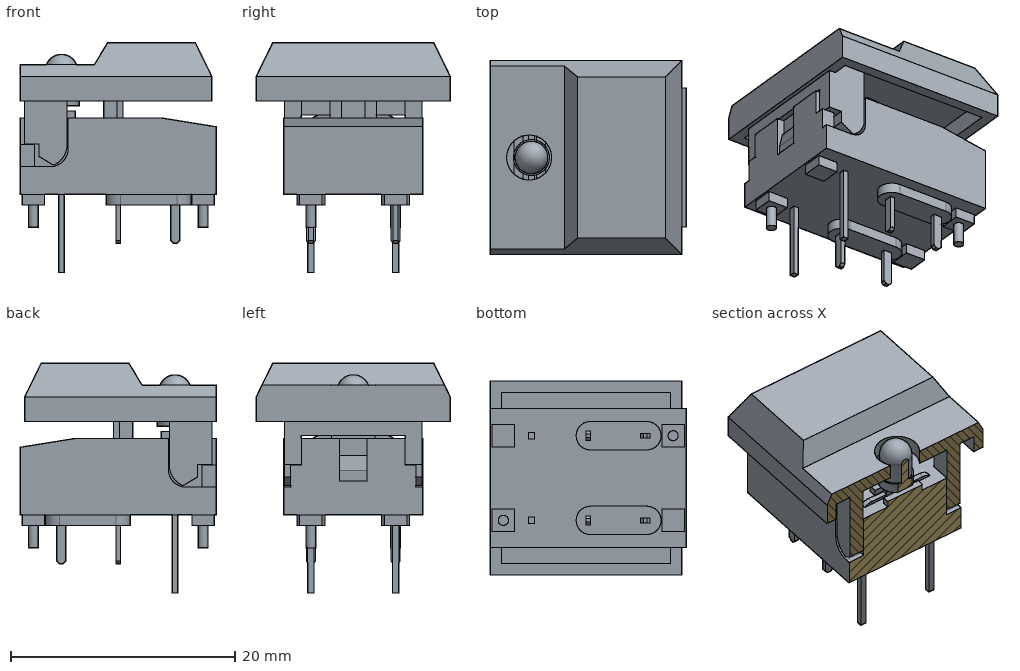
import cadquery as cq
import math


LENGTH = 17.5
HALF_WIDTH = 6.21
TOP_Z = 6.8
REAR_TOP_Z = 6.03
SLOPE_START_X = 12.67

RECESS_LENGTH = 4.28
RECESS_FLOOR_Z = 2.45
RECESS_RADIUS = 1.6
RECESS_INNER_Y = 4.61
GUARD_THICKNESS = 1.27
GUARD_OUTER_Y = 5.58
GUARD_TOP_Z = 4.45

NOTCH_WIDTH = 2.45
NOTCH_FLOOR_Z = 3.01
NOTCH_DEPTH = 0.7
RAMP_FRONT_X = 0.23
RAMP_BACK_X = 0.53
RAMP_LOW_Z = 3.95
RAMP_HIGH_Z = 5.29

ROW_Y = 3.77
FOOT_SIZE = 2.0
FOOT_HEIGHT = 0.96
FRONT_FOOT_X = 1.19
REAR_FOOT_X = 16.32
PAD_LENGTH = 7.56
PAD_WIDTH = 2.52
PAD_CENTRE_X = 11.45
PEG_DIAMETER = 0.9
PEG_END_Z = -2.95

CONTACT_WIDTH = 0.82
CONTACT_THICKNESS = 0.43
CONTACT_END_Z = -4.37
CONTACT_CHAMFER = 0.25
CROSSWISE_CONTACT_X = 8.75
LENGTHWISE_CONTACT_X = 13.84

LAMP_X = 3.7
LAMP_DIAMETER = 2.91
LAMP_TOP_Z = 12.48
FLANGE_DIAMETER = 3.2
FLANGE_BOTTOM_Z = 7.9
FLANGE_THICKNESS = 1.0
HOLDER_FRONT_X = 2.13
HOLDER_REAR_X = 4.95
HOLDER_WIDTH = 3.87
HOLDER_TOP_Z = 7.45
HOLDER_SLOT_WIDTH = 1.2
LEAD_WIDTH = 0.51
LEAD_THICKNESS = 0.57
LEAD_TOP_Z = 7.1
LEAD_BEND_RADIUS = 1.23
LEAD_ROOT_Y = 0.62
LEAD_END_Z = -6.97

CAP_LENGTH = 17.1
CAP_HALF_WIDTH = 8.65
CAP_BOTTOM_Z = 8.3
CAP_EDGE_Z = 10.52
CAP_LEDGE_Z = 11.56
CAP_TOP_Z = 13.53
CAP_TAPER = 1.48
CAP_WALL = 1.02
CAVITY_TOP_Z = 10.07
STEP_LOW_X = 6.62
STEP_HIGH_X = 7.81
LAMP_HOLE_X = 3.48
LAMP_HOLE_DIAMETER = 4.0

SKIRT_FRONT_X = 0.39
SKIRT_THICKNESS = CAP_WALL
SKIRT_BOTTOM_Z = 7.05
LEG_REAR_X = 4.2
LEG_OUTER_Y = 6.13
LEG_NOTCH_X = 1.68
LEG_NOTCH_Z = 4.49
TOE_FRONT_Z = 3.38
TOE_RADIUS = 2.0
TOE_CENTRE_Z = 4.45
TOE_TIP_X = 2.97
PLUNGER_FRONT_X = 7.45
PLUNGER_STEP_X = 8.63
PLUNGER_REAR_X = 9.18
PLUNGER_WIDTH = 4.1
PLUNGER_RIB_WIDTH = 2.05


def block(x_range, y_range, z_range):
    """Box between the given limits on each axis."""
    (x0, x1), (y0, y1), (z0, z1) = x_range, y_range, z_range
    return cq.Workplane("XY").box(x1 - x0, y1 - y0, z1 - z0, centered=False).translate((x0, y0, z0))


def centred_block(x, y, x_size, y_size, z_range):
    """Box centred on x and y between two heights."""
    return block((x - x_size / 2, x + x_size / 2), (y - y_size / 2, y + y_size / 2), z_range)


def cylinder(x, y, diameter, z_range):
    """Upright cylinder between two heights."""
    z0, z1 = z_range
    return cq.Workplane("XY", origin=(x, y, z0)).circle(diameter / 2).extrude(z1 - z0)


def extrude_across(profile, y_range):
    """Extrude a profile drawn in XZ from one Y to a greater one."""
    y0, y1 = y_range
    return profile.extrude(y0 - y1).translate((0, y0, 0))


def side_range(side, inner_y, outer_y):
    """Y limits, in rising order, on the side given by +1 or -1."""
    return tuple(sorted((side * inner_y, side * outer_y)))


def arc_point(centre, radius, angle):
    """Point on a circle at an angle in radians."""
    return centre[0] + radius * math.cos(angle), centre[1] + radius * math.sin(angle)


def housing_block():
    profile = cq.Workplane("XZ").polyline([
        (0, 0), (LENGTH, 0), (LENGTH, REAR_TOP_Z), (SLOPE_START_X, TOP_Z), (0, TOP_Z),
    ]).close()
    return extrude_across(profile, (-HALF_WIDTH, HALF_WIDTH))


def leg_recess(side):
    """Round-cornered recess, less the low guard wall that stays at the front."""
    corner = (RECESS_LENGTH - RECESS_RADIUS, RECESS_FLOOR_Z + RECESS_RADIUS)
    profile = (
        cq.Workplane("XZ")
        .moveTo(0, RECESS_FLOOR_Z)
        .lineTo(corner[0], RECESS_FLOOR_Z)
        .threePointArc(arc_point(corner, RECESS_RADIUS, -math.pi / 4), (RECESS_LENGTH, corner[1]))
        .lineTo(RECESS_LENGTH, TOP_Z)
        .lineTo(0, TOP_Z)
        .close()
    )
    recess = extrude_across(profile, side_range(side, RECESS_INNER_Y, HALF_WIDTH))
    guard = block(
        (0, GUARD_THICKNESS),
        side_range(side, RECESS_INNER_Y, GUARD_OUTER_Y),
        (RECESS_FLOOR_Z, GUARD_TOP_Z),
    )
    return recess.cut(guard)


def front_notch():
    """Notch whose lower part is filled by a ramp."""
    profile = cq.Workplane("XZ").polyline([
        (0, NOTCH_FLOOR_Z),
        (RAMP_FRONT_X, NOTCH_FLOOR_Z),
        (RAMP_FRONT_X, RAMP_LOW_Z),
        (RAMP_BACK_X, RAMP_HIGH_Z),
        (NOTCH_DEPTH, RAMP_HIGH_Z),
        (NOTCH_DEPTH, TOP_Z),
        (0, TOP_Z),
    ]).close()
    return extrude_across(profile, (-NOTCH_WIDTH / 2, NOTCH_WIDTH / 2))


def foot(x, y):
    return centred_block(x, y, FOOT_SIZE, FOOT_SIZE, (-FOOT_HEIGHT, 0))


def contact_pad(y):
    """Round-ended pad that carries a row of contacts."""
    return (
        cq.Workplane("XY", origin=(PAD_CENTRE_X, y, -FOOT_HEIGHT))
        .slot2D(PAD_LENGTH, PAD_WIDTH)
        .extrude(FOOT_HEIGHT)
    )


def crosswise_contact(y):
    pin = centred_block(CROSSWISE_CONTACT_X, y, CONTACT_THICKNESS, CONTACT_WIDTH, (CONTACT_END_Z, 0))
    return pin.faces("<Z").edges("|X").chamfer(CONTACT_CHAMFER)


def lengthwise_contact(y):
    pin = centred_block(LENGTHWISE_CONTACT_X, y, CONTACT_WIDTH, CONTACT_THICKNESS, (CONTACT_END_Z, 0))
    return pin.faces("<Z").edges("|Y").chamfer(CONTACT_CHAMFER)


def lamp_holder():
    """Block on top of the housing, slotted across for the leads."""
    half_width = HOLDER_WIDTH / 2
    height = (TOP_Z, HOLDER_TOP_Z)
    body = block((HOLDER_FRONT_X, HOLDER_REAR_X), (-half_width, half_width), height)
    middle_x = (HOLDER_FRONT_X + HOLDER_REAR_X) / 2
    return body.cut(centred_block(middle_x, 0, HOLDER_SLOT_WIDTH, HOLDER_WIDTH, height))


def lamp():
    """Flange, round body and dome, turned about the lamp axis."""
    radius = LAMP_DIAMETER / 2
    dome_centre_z = LAMP_TOP_Z - radius
    flange_top_z = FLANGE_BOTTOM_Z + FLANGE_THICKNESS
    flange = cylinder(LAMP_X, 0, FLANGE_DIAMETER, (FLANGE_BOTTOM_Z, flange_top_z))
    body = cylinder(LAMP_X, 0, LAMP_DIAMETER, (FLANGE_BOTTOM_Z, dome_centre_z))
    dome = cq.Workplane("XY", origin=(LAMP_X, 0, dome_centre_z)).sphere(radius)
    return flange.union(body).union(dome)


def lamp_lead(side):
    """Flat lead: down from the lamp, outward, then bent down to a long pin."""
    outer_y = ROW_Y + LEAD_THICKNESS / 2
    inner_y = outer_y - LEAD_THICKNESS
    bend_y = outer_y - LEAD_BEND_RADIUS
    bend_z = LEAD_TOP_Z - LEAD_BEND_RADIUS
    inner_radius = LEAD_BEND_RADIUS - LEAD_THICKNESS
    middle = math.sqrt(0.5)
    root_y = LEAD_ROOT_Y + LEAD_THICKNESS
    profile = (
        cq.Workplane("YZ")
        .moveTo(side * LEAD_ROOT_Y, FLANGE_BOTTOM_Z)
        .lineTo(side * root_y, FLANGE_BOTTOM_Z)
        .lineTo(side * root_y, LEAD_TOP_Z)
        .lineTo(side * bend_y, LEAD_TOP_Z)
        .threePointArc(
            (side * (bend_y + LEAD_BEND_RADIUS * middle), bend_z + LEAD_BEND_RADIUS * middle),
            (side * outer_y, bend_z),
        )
        .lineTo(side * outer_y, LEAD_END_Z)
        .lineTo(side * inner_y, LEAD_END_Z)
        .lineTo(side * inner_y, bend_z)
        .threePointArc(
            (side * (bend_y + inner_radius * middle), bend_z + inner_radius * middle),
            (side * bend_y, LEAD_TOP_Z - LEAD_THICKNESS),
        )
        .lineTo(side * LEAD_ROOT_Y, LEAD_TOP_Z - LEAD_THICKNESS)
        .close()
    )
    return profile.extrude(LEAD_WIDTH / 2, both=True).translate((LAMP_X, 0, 0))


def make_housing():
    """Housing with its feet, pegs, contacts and lamp."""
    body = housing_block().cut(front_notch())
    for side in (-1, 1):
        row_y = side * ROW_Y
        body = body.cut(leg_recess(side))
        for foot_x in (FRONT_FOOT_X, REAR_FOOT_X):
            body = body.union(foot(foot_x, row_y))
        body = body.union(contact_pad(row_y))
        body = body.union(crosswise_contact(row_y))
        body = body.union(lengthwise_contact(row_y))
    for peg_x, peg_y in ((FRONT_FOOT_X, ROW_Y), (REAR_FOOT_X, -ROW_Y)):
        body = body.union(cylinder(peg_x, peg_y, PEG_DIAMETER, (PEG_END_Z, 0)))
    body = body.union(lamp_holder()).union(lamp())
    for side in (-1, 1):
        body = body.union(lamp_lead(side))
    return body


def cap_top():
    """Stepped side profile crossed with the tapered end profile."""
    side_profile = cq.Workplane("XZ").polyline([
        (0, CAP_BOTTOM_Z),
        (CAP_LENGTH, CAP_BOTTOM_Z),
        (CAP_LENGTH, CAP_EDGE_Z),
        (CAP_LENGTH - CAP_TAPER, CAP_TOP_Z),
        (STEP_HIGH_X, CAP_TOP_Z),
        (STEP_LOW_X, CAP_LEDGE_Z),
        (0, CAP_LEDGE_Z),
    ]).close()
    top_half_width = CAP_HALF_WIDTH - CAP_TAPER
    end_profile = cq.Workplane("YZ").polyline([
        (-CAP_HALF_WIDTH, CAP_BOTTOM_Z),
        (CAP_HALF_WIDTH, CAP_BOTTOM_Z),
        (CAP_HALF_WIDTH, CAP_EDGE_Z),
        (top_half_width, CAP_TOP_Z),
        (-top_half_width, CAP_TOP_Z),
        (-CAP_HALF_WIDTH, CAP_EDGE_Z),
    ]).close()
    stepped = extrude_across(side_profile, (-CAP_HALF_WIDTH, CAP_HALF_WIDTH))
    return stepped.intersect(end_profile.extrude(CAP_LENGTH))


def cap_cavity():
    """Hollow inside the cap, open underneath."""
    half_width = CAP_HALF_WIDTH - CAP_WALL
    return block(
        (CAP_WALL, CAP_LENGTH - CAP_WALL),
        (-half_width, half_width),
        (CAP_BOTTOM_Z, CAVITY_TOP_Z),
    )


def cap_leg(side):
    """Leg with a notch over the guard wall and a pointed toe with a rounded back."""
    centre = (LEG_REAR_X - TOE_RADIUS, TOE_CENTRE_Z)
    tip_angle = -math.acos((TOE_TIP_X - centre[0]) / TOE_RADIUS)
    profile = (
        cq.Workplane("XZ")
        .moveTo(SKIRT_FRONT_X, CAVITY_TOP_Z)
        .lineTo(SKIRT_FRONT_X, LEG_NOTCH_Z)
        .lineTo(LEG_NOTCH_X, LEG_NOTCH_Z)
        .lineTo(LEG_NOTCH_X, TOE_FRONT_Z)
        .lineTo(*arc_point(centre, TOE_RADIUS, tip_angle))
        .threePointArc(arc_point(centre, TOE_RADIUS, tip_angle / 2), (LEG_REAR_X, TOE_CENTRE_Z))
        .lineTo(LEG_REAR_X, CAVITY_TOP_Z)
        .close()
    )
    return extrude_across(profile, side_range(side, RECESS_INNER_Y, LEG_OUTER_Y))


def cap_skirt():
    """Front wall that joins the two legs."""
    return block(
        (SKIRT_FRONT_X, SKIRT_FRONT_X + SKIRT_THICKNESS),
        (-LEG_OUTER_Y, LEG_OUTER_Y),
        (SKIRT_BOTTOM_Z, CAVITY_TOP_Z),
    )


def plunger():
    """Post that rests on the housing, with a narrower rib behind it."""
    height = (TOP_Z, CAVITY_TOP_Z)
    half_post = PLUNGER_WIDTH / 2
    half_rib = PLUNGER_RIB_WIDTH / 2
    post = block((PLUNGER_FRONT_X, PLUNGER_STEP_X), (-half_post, half_post), height)
    return post.union(block((PLUNGER_STEP_X, PLUNGER_REAR_X), (-half_rib, half_rib), height))


def make_cap():
    """Hollow cap with its lamp hole, skirt, legs and plunger."""
    body = cap_top().cut(cap_cavity()).union(cap_skirt()).union(plunger())
    for side in (-1, 1):
        body = body.union(cap_leg(side))
    return body.cut(cylinder(LAMP_HOLE_X, 0, LAMP_HOLE_DIAMETER, (CAVITY_TOP_Z, CAP_LEDGE_Z)))


housing = make_housing()
cap = make_cap()

result = cq.Compound.makeCompound([housing.solids().val(), cap.solids().val()])